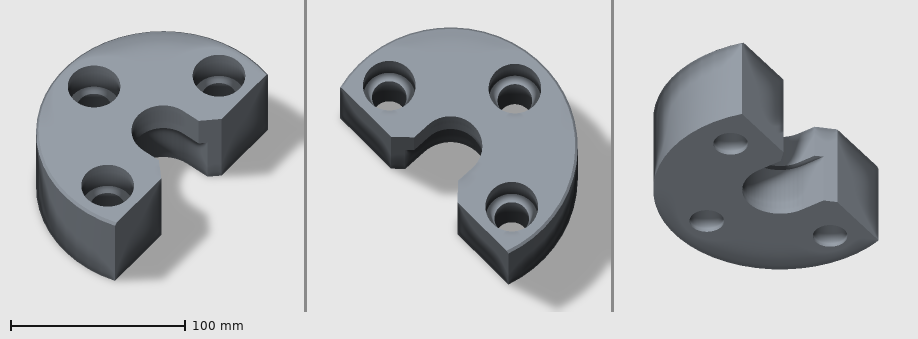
import cadquery as cq
import math

outer_radius = 72.9
height = 53.4
flat_x = 20.7
rim_chamfer = 1.5
slot_radius = 18.2
undercut_radius = 21.9
undercut_height = 32.1
mouth_half_width = 27.5
bolt_circle_radius = 50.9
bolt_angles = (90, 180, 270)
bolt_diameter = 19.8
counterbore_diameter = 30.2
counterbore_depth = 19.8


def make_body():
    """Disc with a chamfered top rim, cut off by the flat side face."""
    disc = cq.Workplane("XY").circle(outer_radius).extrude(height)
    disc = disc.faces(">Z").chamfer(rim_chamfer)
    kept_length = outer_radius + flat_x
    kept_side = cq.Workplane("XY").box(
        kept_length, 2 * outer_radius, height, centered=(False, True, False)
    ).translate((-outer_radius, 0, 0))
    return disc.intersect(kept_side)


def make_slot(radius, slot_height):
    """Round-ended slot, rising from the base, that flares open at the flat side face."""
    flare_start = flat_x - (mouth_half_width - radius)
    return (
        cq.Workplane("XY")
        .moveTo(0, radius)
        .threePointArc((-radius, 0), (0, -radius))
        .lineTo(flare_start, -radius)
        .lineTo(flat_x, -mouth_half_width)
        .lineTo(flat_x, mouth_half_width)
        .lineTo(flare_start, radius)
        .close()
        .extrude(slot_height)
    )


def bolt_position(angle):
    """Point on the bolt circle at an angle in degrees."""
    turn = math.radians(angle)
    return (bolt_circle_radius * math.cos(turn), bolt_circle_radius * math.sin(turn))


result = (
    make_body()
    .cut(make_slot(slot_radius, height))
    .cut(make_slot(undercut_radius, undercut_height))
    .faces(">Z")
    .workplane(origin=(0, 0, height))
    .pushPoints([bolt_position(angle) for angle in bolt_angles])
    .cboreHole(bolt_diameter, counterbore_diameter, counterbore_depth)
)